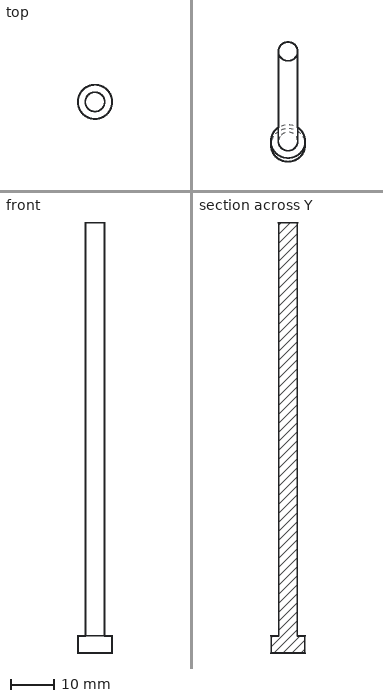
import cadquery as cq

total_length = 100.0
head_diameter = 8.0
head_height = 4.0
shank_diameter = 4.5

head = cq.Workplane("XY").circle(head_diameter / 2).extrude(head_height)

shank = (
    cq.Workplane("XY")
    .workplane(offset=head_height)
    .circle(shank_diameter / 2)
    .extrude(total_length - head_height)
)

result = head.union(shank)